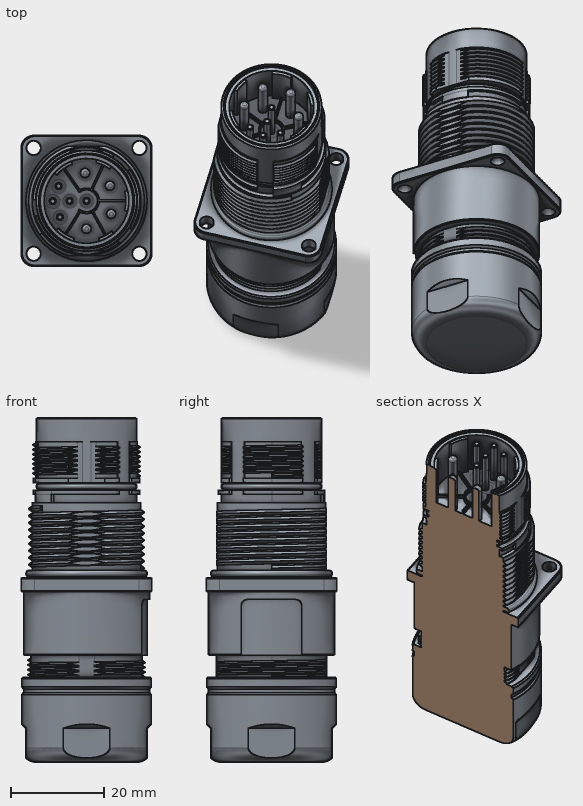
import cadquery as cq
import math

TOTAL_HEIGHT = 73.7
BIG = 44.2
OVERLAP = 0.7

THREAD_SINK = 0.1
THREAD_BASE_SHARE = 0.84

NUT_RADIUS = 27.8 / 2
NUT_TOP = 18.2
NUT_BOTTOM_FILLET = 3.1
NUT_TOP_CHAMFER = 0.4
NUT_GROOVE_RADIUS = 13.5
NUT_GROOVE_TOP, NUT_GROOVE_BOTTOM = 15.6, 14.9
NUT_GROOVE_TAPER = 0.5
WRENCH_FLAT_DISTANCE = 13.0
WRENCH_FLAT_TOP = 7.2
WRENCH_RUN_OUT = 2.95

NECK_RADIUS = 23.8 / 2
NECK_FLAT_DISTANCE = 11.8
NECK_CREST_RADIUS = 12.5
NECK_FIRST_CREST, NECK_LAST_CREST = 18.2, 21.8
NECK_TURNS = 3.5

BODY_RADIUS = 13.5
BODY_BOTTOM = 22.85
BODY_CHAMFER = 0.2
PANEL_DEPTH = 0.45
PANEL_WIDTH = 12.9
PANEL_TOP = 34.8
PANEL_CORNER_RADIUS = 1.25

FLANGE_SIDE = 28.0
FLANGE_BOTTOM, FLANGE_TOP = 36.5, 39.4
FLANGE_CORNER_RADIUS = 2.8
FLANGE_CHAMFER = 0.2
MOUNTING_HOLE_DIAMETER = 3.0
MOUNTING_HOLE_SPACING = 22.6

BARREL_RADIUS = 11.65
BARREL_TOP = 55.5
BARREL_CREST_RADIUS = 12.4
BARREL_FLAT_DISTANCE = 11.7
BARREL_FIRST_CREST, BARREL_LAST_CREST = 41.5, 54.3
BARREL_TURNS = 8.6
FLANGE_SEAL_RADIUS = 13.0
FLANGE_SEAL_HEIGHT = 1.4
FLANGE_SEAL_CENTRE = 40.3

SLEEVE_RADIUS = 10.75
SLEEVE_CHAMFER_WIDTH = 0.26
SLEEVE_CHAMFER_HEIGHT = 0.5
SEAL_GROOVE_RADIUS = 10.25
SEAL_GROOVE_BOTTOM, SEAL_GROOVE_TOP = 58.1, 59.75
SLEEVE_SEAL_HEIGHT = 1.1

COUPLING_ROOT_RADIUS = 10.9
COUPLING_CREST_RADIUS = 11.5
COUPLING_FIRST_CREST, COUPLING_LAST_CREST = 61.2, 67.85
COUPLING_TURNS = 6.5
COUPLING_TOP = 68.5
BARE_STRIP_WIDTH = 1.9
COUPLING_FLAT_DISTANCE = math.sqrt(SLEEVE_RADIUS**2 - (BARE_STRIP_WIDTH / 2) ** 2)
COLLAR_RADIUS = 11.4
COLLAR_TOP = 60.7
LUG_BOTTOM = 57.3
COUPLING_GAPS = ((36, 59), (179, 197), (308, 328))
STOP_BLOCKS = ((79, 109), (197, 229))

RIM_RADIUS = 19.8 / 2
RIM_DEPTH = 0.2
BORE_RADIUS = 9.05
KEY_RADIUS = 8.4
KEY_TOP = 73.25
SOCKET_FLOOR = 63.4
KEYS = ((0, 14), (65, 11), (125, 14), (238, 14), (299, 11))

RIB_THICKNESS = 0.4
RIB_HEIGHT = 0.7
HUB_RADIUS = 2.7
HUB_HALF_ANGLE = 130

POWER_PIN_DIAMETER = 2.0
POWER_PIN_TOP = 72.6
POWER_PIN_TIP_FILLET = 0.6
POWER_PIN_CIRCLE_RADIUS = 6.0
POWER_PIN_ANGLES = (93, 33, -28, -90)
SIGNAL_PIN_DIAMETER = 1.4
SIGNAL_PIN_TOP = 73.25
SIGNAL_PIN_TIP_CHAMFER = 0.185
SIGNAL_PIN_PLACES = ((0, 0), (-3.6, 0), (-7.2, -0.1), (-6.0, 3.2), (-5.7, -3.45))
SIGNAL_WELL_DIAMETER = 2.8
SIGNAL_COUNTERBORE_DIAMETER = 3.0
SIGNAL_COUNTERBORE_DEPTH = 0.4
SIGNAL_WELL_DEPTH = 1.5


def cylinder(radius, bottom, top):
    return cq.Workplane("XY").workplane(offset=bottom).circle(radius).extrude(top - bottom)


def sector(inner, outer, bottom, top, start, end):
    """Part of a ring between two angles, in degrees."""

    def at(radius, angle):
        turn = math.radians(angle)
        return (radius * math.cos(turn), radius * math.sin(turn))

    middle = (start + end) / 2
    return (
        cq.Workplane("XY")
        .workplane(offset=bottom)
        .moveTo(*at(inner, start))
        .lineTo(*at(outer, start))
        .threePointArc(at(outer, middle), at(outer, end))
        .lineTo(*at(inner, end))
        .threePointArc(at(inner, middle), at(inner, start))
        .close()
        .extrude(top - bottom)
    )


def seal(radius, height, centre, core):
    """Sealing ring with a half-round outer edge."""
    half = height / 2
    return (
        cq.Workplane("XZ")
        .moveTo(core, centre - half)
        .lineTo(radius - half, centre - half)
        .threePointArc((radius, centre), (radius - half, centre + half))
        .lineTo(core, centre + half)
        .close()
        .revolve(360, (0, 0), (0, 1))
    )


def thread(root, crest, first_crest, last_crest, turns):
    """Right-hand V-shaped thread ridge that starts on +X and sinks slightly into its core."""
    inner = root - THREAD_SINK
    pitch = (last_crest - first_crest) / turns
    half_base = THREAD_BASE_SHARE * pitch / 2
    path = cq.Wire.makeHelix(pitch, last_crest - first_crest, inner)
    ridge = (
        cq.Workplane("XZ")
        .polyline([(inner, -half_base), (crest, 0), (inner, half_base)])
        .close()
        .sweep(cq.Workplane(path), isFrenet=True)
    )
    return ridge.translate((0, 0, first_crest))


def between_flats(shape, distance):
    """Keep what lies within a distance of the XZ plane."""
    slab = cq.Workplane("XY").box(BIG, 2 * distance, 4 * TOTAL_HEIGHT)
    return shape.intersect(slab, clean=False)


def make_nut():
    groove_outer_top = NUT_GROOVE_TOP + NUT_GROOVE_TAPER
    groove_outer_bottom = NUT_GROOVE_BOTTOM - NUT_GROOVE_TAPER
    nut = (
        cq.Workplane("XZ")
        .polyline([
            (0, 0),
            (NUT_RADIUS, 0),
            (NUT_RADIUS, groove_outer_bottom),
            (NUT_GROOVE_RADIUS, NUT_GROOVE_BOTTOM),
            (NUT_GROOVE_RADIUS, NUT_GROOVE_TOP),
            (NUT_RADIUS, groove_outer_top),
            (NUT_RADIUS, NUT_TOP - NUT_TOP_CHAMFER),
            (NUT_RADIUS - NUT_TOP_CHAMFER, NUT_TOP),
            (0, NUT_TOP),
        ])
        .close()
        .revolve(360, (0, 0), (0, 1))
        .faces("<Z")
        .edges()
        .fillet(NUT_BOTTOM_FILLET)
    )
    flat = (
        cq.Workplane("XZ")
        .polyline([
            (WRENCH_FLAT_DISTANCE, 0),
            (WRENCH_FLAT_DISTANCE, WRENCH_FLAT_TOP),
            (WRENCH_FLAT_DISTANCE + WRENCH_RUN_OUT, WRENCH_FLAT_TOP + WRENCH_RUN_OUT),
            (WRENCH_FLAT_DISTANCE + WRENCH_RUN_OUT, 0),
        ])
        .close()
        .extrude(BIG / 2, both=True)
    )
    for quarter in range(4):
        nut = nut.cut(flat.rotate((0, 0, 0), (0, 0, 1), 90 * quarter))
    return nut


def make_neck():
    neck = cylinder(NECK_RADIUS, NUT_TOP, BODY_BOTTOM)
    ridge = thread(NECK_RADIUS, NECK_CREST_RADIUS, NECK_FIRST_CREST, NECK_LAST_CREST, NECK_TURNS)
    neck = neck.union(ridge, clean=False)
    return between_flats(neck, NECK_FLAT_DISTANCE)


def make_body():
    body = cylinder(BODY_RADIUS, BODY_BOTTOM, FLANGE_BOTTOM).faces("<Z").edges().chamfer(BODY_CHAMFER)
    panel_start = BODY_BOTTOM - 2 * PANEL_CORNER_RADIUS
    panel = (
        cq.Workplane("YZ")
        .center(0, (panel_start + PANEL_TOP) / 2)
        .rect(PANEL_WIDTH, PANEL_TOP - panel_start)
        .extrude(BIG)
        .edges("|X")
        .fillet(PANEL_CORNER_RADIUS)
        .cut(cylinder(BODY_RADIUS - PANEL_DEPTH, 0, TOTAL_HEIGHT))
    )
    return body.cut(panel)


def make_flange():
    return (
        cq.Workplane("XY")
        .workplane(offset=FLANGE_BOTTOM)
        .rect(FLANGE_SIDE, FLANGE_SIDE)
        .extrude(FLANGE_TOP - FLANGE_BOTTOM)
        .edges("|Z")
        .fillet(FLANGE_CORNER_RADIUS)
        .faces("<Z or >Z")
        .edges()
        .chamfer(FLANGE_CHAMFER)
        .faces(">Z")
        .workplane(origin=(0, 0, FLANGE_TOP))
        .rect(MOUNTING_HOLE_SPACING, MOUNTING_HOLE_SPACING, forConstruction=True)
        .vertices()
        .hole(MOUNTING_HOLE_DIAMETER)
    )


def make_barrel():
    barrel = cylinder(BARREL_RADIUS, FLANGE_TOP, BARREL_TOP)
    ridge = thread(BARREL_RADIUS, BARREL_CREST_RADIUS, BARREL_FIRST_CREST, BARREL_LAST_CREST, BARREL_TURNS)
    barrel = barrel.union(ridge, clean=False)
    barrel = between_flats(barrel, BARREL_FLAT_DISTANCE)
    flange_seal = seal(FLANGE_SEAL_RADIUS, FLANGE_SEAL_HEIGHT, FLANGE_SEAL_CENTRE, BARREL_RADIUS - OVERLAP)
    return barrel.union(flange_seal, clean=False)


def make_coupling_ring():
    ring = cylinder(COUPLING_ROOT_RADIUS, SEAL_GROOVE_TOP, COUPLING_TOP)
    ring = ring.union(cylinder(COLLAR_RADIUS, SEAL_GROOVE_TOP, COLLAR_TOP))
    ridge = thread(
        COUPLING_ROOT_RADIUS,
        COUPLING_CREST_RADIUS,
        COUPLING_FIRST_CREST,
        COUPLING_LAST_CREST,
        COUPLING_TURNS,
    )
    ring = ring.union(ridge, clean=False)
    ring = between_flats(ring, COUPLING_FLAT_DISTANCE)
    ring = ring.union(cylinder(COLLAR_RADIUS, LUG_BOTTOM, SEAL_GROOVE_BOTTOM), clean=False)
    for start, end in COUPLING_GAPS:
        gap = sector(SEAL_GROOVE_RADIUS - OVERLAP, BIG, LUG_BOTTOM, COUPLING_TOP, start, end)
        ring = ring.cut(gap, clean=False)
    for start, end in STOP_BLOCKS:
        block = sector(SEAL_GROOVE_RADIUS, COLLAR_RADIUS, BARREL_TOP, SEAL_GROOVE_BOTTOM, start, end)
        ring = ring.union(block, clean=False)
    hollow = cylinder(SEAL_GROOVE_RADIUS, SOCKET_FLOOR, COUPLING_TOP)
    return ring.cut(hollow, clean=False)


def make_sleeve():
    sleeve = cylinder(SLEEVE_RADIUS, SEAL_GROOVE_TOP, TOTAL_HEIGHT)
    sleeve = sleeve.faces(">Z").edges().chamfer(SLEEVE_CHAMFER_WIDTH, SLEEVE_CHAMFER_HEIGHT)
    sleeve = sleeve.union(cylinder(SEAL_GROOVE_RADIUS, SEAL_GROOVE_BOTTOM, SEAL_GROOVE_TOP))
    sleeve = sleeve.union(cylinder(SLEEVE_RADIUS, BARREL_TOP, SEAL_GROOVE_BOTTOM))
    seal_centre = (SEAL_GROOVE_BOTTOM + SEAL_GROOVE_TOP) / 2
    return sleeve.union(seal(SLEEVE_RADIUS, SLEEVE_SEAL_HEIGHT, seal_centre, SEAL_GROOVE_RADIUS - OVERLAP))


def cut_socket(shape):
    shape = shape.cut(cylinder(RIM_RADIUS, TOTAL_HEIGHT - RIM_DEPTH, TOTAL_HEIGHT))
    bore = cylinder(BORE_RADIUS, SOCKET_FLOOR, TOTAL_HEIGHT)
    for middle, half in KEYS:
        start, end = middle - half, middle + half
        key = sector(KEY_RADIUS, BORE_RADIUS + OVERLAP, SOCKET_FLOOR, KEY_TOP, start, end)
        bore = bore.cut(key)
    return shape.cut(bore)


def make_ribs():
    rib_top = SOCKET_FLOOR + RIB_HEIGHT
    hub_inner = HUB_RADIUS - RIB_THICKNESS
    ribs = sector(hub_inner, HUB_RADIUS, SOCKET_FLOOR, rib_top, -HUB_HALF_ANGLE, HUB_HALF_ANGLE)
    middle_radius = (hub_inner + BORE_RADIUS) / 2
    spoke = (
        cq.Workplane("XY")
        .workplane(offset=SOCKET_FLOOR)
        .center(middle_radius, 0)
        .rect(BORE_RADIUS - hub_inner, RIB_THICKNESS)
        .extrude(RIB_HEIGHT)
    )
    for middle, _ in KEYS:
        ribs = ribs.union(spoke.rotate((0, 0, 0), (0, 0, 1), middle))
    return ribs


def add_contacts(shape):
    power_pin = cylinder(POWER_PIN_DIAMETER / 2, SOCKET_FLOOR - OVERLAP, POWER_PIN_TOP)
    power_pin = power_pin.faces(">Z").edges().fillet(POWER_PIN_TIP_FILLET)
    for angle in POWER_PIN_ANGLES:
        placed = power_pin.translate((POWER_PIN_CIRCLE_RADIUS, 0, 0))
        shape = shape.union(placed.rotate((0, 0, 0), (0, 0, 1), angle))

    well_bottom = SOCKET_FLOOR - SIGNAL_WELL_DEPTH
    well = cylinder(SIGNAL_WELL_DIAMETER / 2, well_bottom, SOCKET_FLOOR)
    counterbore_bottom = SOCKET_FLOOR - SIGNAL_COUNTERBORE_DEPTH
    well = well.union(cylinder(SIGNAL_COUNTERBORE_DIAMETER / 2, counterbore_bottom, SOCKET_FLOOR))
    signal_pin = cylinder(SIGNAL_PIN_DIAMETER / 2, well_bottom, SIGNAL_PIN_TOP)
    signal_pin = signal_pin.faces(">Z").edges().chamfer(SIGNAL_PIN_TIP_CHAMFER)
    for x, y in SIGNAL_PIN_PLACES:
        shape = shape.cut(well.translate((x, y, 0)))
        shape = shape.union(signal_pin.translate((x, y, 0)))
    return shape


shell = make_nut()
for section in (make_body(), make_flange(), make_sleeve()):
    shell = shell.union(section)
result = add_contacts(cut_socket(shell).union(make_ribs()))

for section in (make_neck(), make_barrel(), make_coupling_ring()):
    result = result.union(section, clean=False)